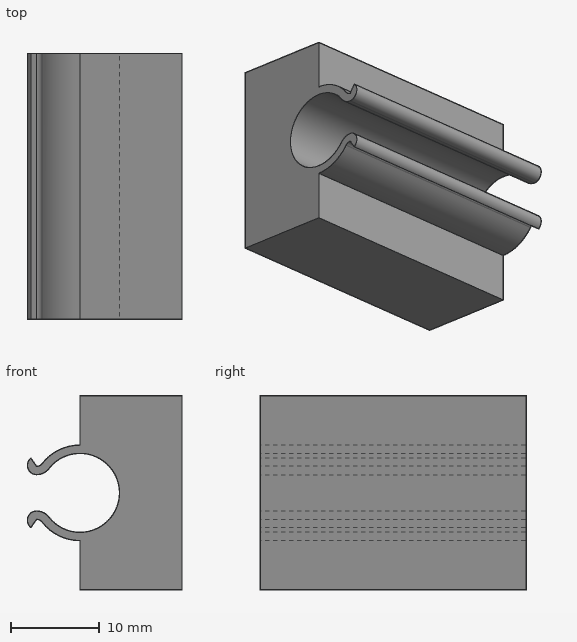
import cadquery as cq
import math

length = 30.0
block_depth = 11.52
block_height = 21.9

bore_radius = 4.45
wall = 0.95
clip_radius = bore_radius + wall

overhang = 5.95
lip_radius = 1.05
mouth_half_gap = 2.05
tip_angle = math.radians(128)

throat_x = lip_radius - overhang
nose_z = mouth_half_gap + lip_radius

throat_radius = (throat_x**2 + mouth_half_gap**2 - bore_radius**2) / (
    2 * (bore_radius - mouth_half_gap)
)
throat_z = mouth_half_gap + throat_radius
inner_throat_radius = throat_radius - wall

flank_angle = math.atan2(throat_z, throat_x)
flank_middle_angle = (flank_angle + math.pi / 2) / 2


def polar(radius, angle, center=(0, 0)):
    """Point at a radius and angle from a centre in the XZ plane."""
    return (center[0] + radius * math.cos(angle), center[1] + radius * math.sin(angle))


def extrude_along_bore(profile):
    """Extrude an XZ profile over the full length, centred on Y = 0."""
    return profile.extrude(length / 2, both=True)


def make_block():
    outline = cq.Workplane("XZ").center(block_depth / 2, 0).rect(block_depth, block_height)
    bore = cq.Workplane("XZ").circle(bore_radius)
    return extrude_along_bore(outline).cut(extrude_along_bore(bore))


def make_upper_arm():
    throat_center = (throat_x, throat_z)
    nose_center = (throat_x, nose_z)
    throat_middle_angle = ((flank_angle - math.pi) - math.pi / 2) / 2
    return extrude_along_bore(
        cq.Workplane("XZ")
        .moveTo(0, bore_radius)
        .threePointArc(polar(bore_radius, flank_middle_angle), polar(bore_radius, flank_angle))
        .threePointArc(polar(throat_radius, throat_middle_angle, throat_center), (throat_x, mouth_half_gap))
        .threePointArc((-overhang, nose_z), polar(lip_radius, tip_angle, nose_center))
        .lineTo(throat_x, mouth_half_gap + wall)
        .threePointArc(
            polar(inner_throat_radius, throat_middle_angle, throat_center),
            polar(clip_radius, flank_angle),
        )
        .threePointArc(polar(clip_radius, flank_middle_angle), (0, clip_radius))
        .close()
    )


upper_arm = make_upper_arm()
lower_arm = upper_arm.mirror("XY")
result = make_block().union(upper_arm).union(lower_arm)